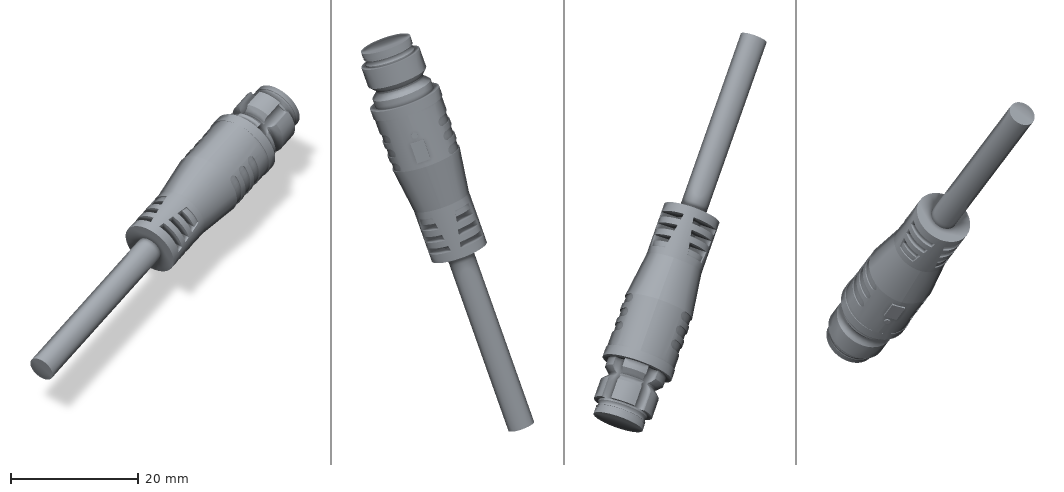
import cadquery as cq

TOTAL_LENGTH = 65.7
NUT_FRONT = 2.4
RING_FRONT = 9.2
RING_REAR = 10.8
GRIP_REAR = 19.6
RELIEF_FRONT = 27.0
RELIEF_REAR = 35.7

TIP_RADIUS = 4.1
TIP_GROOVE_FRONT = 1.3
TIP_GROOVE_REAR = 2.1
TIP_GROOVE_DEPTH = 0.2
TIP_STEP_FRONT = 0.9
TIP_STEP_DEPTH = 0.1

NUT_RADIUS = 4.85
NECK_RADIUS = 3.9
NECK_FRONT = 5.65
NECK_REAR = 7.8

SCALLOP_ANGLE = 35.3
SCALLOP_RADIUS = 0.95
SCALLOP_CENTRE = 4.75

RING_RADIUS = 5.75
GRIP_HALF_WIDTH = 5.6

RECESS_FIRST = 13.35
RECESS_WIDTH = 1.45
RECESS_PITCH = 2.4
RECESS_COUNT = 3
RECESS_LENGTH = 7.9
RECESS_DEPTH = 0.2

MARK_DEPTH = 0.18
MARK_HALF_WIDTH = 1.1
MARK_DOT_CENTRE = 14.2
MARK_DOT_DIAMETER = 1.0
MARK_BAR_FRONT = 15.3
MARK_BAR_REAR = 18.6

RELIEF_RADIUS = 4.6
WINDOW_FIRST = 29.2
WINDOW_WIDTH = 1.0
WINDOW_PITCH = 2.0
WINDOW_COUNT = 3
STEP_FRONT = WINDOW_FIRST - WINDOW_WIDTH
STEP_DEPTH = 0.2
WINDOW_REAR = WINDOW_FIRST + (WINDOW_COUNT - 1) * WINDOW_PITCH + WINDOW_WIDTH
RIB_HALF_FRONT = 1.9
RIB_HALF_REAR = 0.8

CABLE_RADIUS = 2.15
MARGIN = 1.0


def station(distance):
    """Plane across the axis, facing -Y, at a distance behind the tip."""
    return cq.Workplane("XZ", origin=(0, -distance, 0))


def cylinder(front, rear, radius):
    return station(front).circle(radius).extrude(rear - front)


def tube(front, rear, inner, outer):
    return station(front).circle(outer).circle(inner).extrude(rear - front)


def grip_outline(distance, half_width, half_height):
    """Two arcs that meet at the top and bottom."""
    return (
        station(distance)
        .moveTo(0, half_height)
        .threePointArc((half_width, 0), (0, -half_height))
        .threePointArc((-half_width, 0), (0, half_height))
        .close()
    )


def make_front():
    """Tip, nut, neck and ring, turned about the axis."""
    neck_drop = NUT_RADIUS - NECK_RADIUS
    groove_middle = (TIP_GROOVE_FRONT + TIP_GROOVE_REAR) / 2
    groove_floor = (TIP_RADIUS - TIP_GROOVE_DEPTH, -groove_middle)
    return (
        cq.Workplane("XY")
        .lineTo(TIP_RADIUS, 0)
        .lineTo(TIP_RADIUS, -TIP_STEP_FRONT)
        .lineTo(TIP_RADIUS - TIP_STEP_DEPTH, -TIP_STEP_FRONT)
        .lineTo(TIP_RADIUS - TIP_STEP_DEPTH, -TIP_GROOVE_FRONT)
        .lineTo(TIP_RADIUS, -TIP_GROOVE_FRONT)
        .threePointArc(groove_floor, (TIP_RADIUS, -TIP_GROOVE_REAR))
        .lineTo(TIP_RADIUS, -NUT_FRONT)
        .lineTo(NUT_RADIUS, -NUT_FRONT)
        .lineTo(NUT_RADIUS, -NECK_FRONT)
        .lineTo(NECK_RADIUS, -NECK_FRONT - neck_drop)
        .lineTo(NECK_RADIUS, -NECK_REAR + neck_drop)
        .lineTo(NUT_RADIUS, -NECK_REAR)
        .lineTo(NUT_RADIUS, -RING_FRONT)
        .lineTo(RING_RADIUS, -RING_FRONT)
        .lineTo(RING_RADIUS, -RING_REAR)
        .lineTo(0, -RING_REAR)
        .close()
        .revolve(360, (0, 0, 0), (0, 1, 0))
    )


def make_scallops():
    length = RING_FRONT - NUT_FRONT
    groove = station(NUT_FRONT).center(0, SCALLOP_CENTRE).circle(SCALLOP_RADIUS).extrude(length)
    axis = ((0, 0, 0), (0, 1, 0))
    return groove.rotate(*axis, SCALLOP_ANGLE).union(groove.rotate(*axis, -SCALLOP_ANGLE))


def make_grip():
    straight = grip_outline(RING_REAR, GRIP_HALF_WIDTH, RING_RADIUS).extrude(GRIP_REAR - RING_REAR)
    front_wire = grip_outline(GRIP_REAR, GRIP_HALF_WIDTH, RING_RADIUS).wires().val()
    rear_wire = grip_outline(RELIEF_FRONT, RELIEF_RADIUS, RELIEF_RADIUS).wires().val()
    taper = cq.Workplane(cq.Solid.makeLoft([front_wire, rear_wire], True))
    return straight.union(taper)


def make_finger_recesses():
    """Rounded slots sunk to an even depth below the flanks of the grip."""
    centres = [(-(RECESS_FIRST + RECESS_WIDTH / 2 + i * RECESS_PITCH), 0) for i in range(RECESS_COUNT)]
    slots = (
        cq.Workplane("YZ")
        .pushPoints(centres)
        .slot2D(RECESS_LENGTH, RECESS_WIDTH, 90)
        .extrude(RING_RADIUS + MARGIN, both=True)
    )
    core = grip_outline(RING_REAR, GRIP_HALF_WIDTH - RECESS_DEPTH, RING_RADIUS - RECESS_DEPTH)
    return slots.cut(core.extrude(RELIEF_FRONT - RING_REAR))


def make_mark():
    """Dot and bar standing proud of the underside of the grip."""
    bar_length = MARK_BAR_REAR - MARK_BAR_FRONT
    bar_middle = (MARK_BAR_FRONT + MARK_BAR_REAR) / 2
    underside = cq.Workplane("XY", origin=(0, 0, -RING_RADIUS - MARK_DEPTH))
    dot = underside.center(0, -MARK_DOT_CENTRE).circle(MARK_DOT_DIAMETER / 2).extrude(MARGIN)
    bar = underside.center(0, -bar_middle).rect(2 * MARK_HALF_WIDTH, bar_length).extrude(MARGIN)
    return dot.union(bar)


def make_quadrant():
    """Space between two neighbouring ribs, which grow thinner toward the rear."""
    reach = RELIEF_RADIUS + MARGIN
    outline = [
        (RIB_HALF_FRONT, -STEP_FRONT),
        (reach, -STEP_FRONT),
        (reach, -WINDOW_REAR),
        (RIB_HALF_REAR, -WINDOW_REAR),
    ]
    beside = cq.Workplane("XY").polyline(outline).close().extrude(reach)
    above = cq.Workplane("YZ").polyline([(y, z) for z, y in outline]).close().extrude(reach)
    return beside.intersect(above)


def make_windows():
    reach = RELIEF_RADIUS + 2 * MARGIN
    rings = tube(STEP_FRONT, WINDOW_FIRST, RELIEF_RADIUS - STEP_DEPTH, reach)
    for i in range(WINDOW_COUNT):
        front = WINDOW_FIRST + i * WINDOW_PITCH
        rings = rings.union(tube(front, front + WINDOW_WIDTH, CABLE_RADIUS, reach))
    column = rings.intersect(make_quadrant())
    windows = column
    for quarter in range(1, 4):
        windows = windows.union(column.rotate((0, 0, 0), (0, 1, 0), 90 * quarter))
    return windows


def make_housing():
    front = make_front().cut(make_scallops())
    grip = make_grip().cut(make_finger_recesses()).union(make_mark())
    relief = tube(RELIEF_FRONT, RELIEF_REAR, CABLE_RADIUS, RELIEF_RADIUS).cut(make_windows())
    return front.union(grip).union(relief)


def make_cable():
    """Cable seated in the bore of the strain relief, where the windows expose it."""
    return cylinder(RELIEF_FRONT, TOTAL_LENGTH, CABLE_RADIUS)


housing = make_housing()
cable = make_cable()
result = cq.Compound.makeCompound([housing.val(), cable.val()])